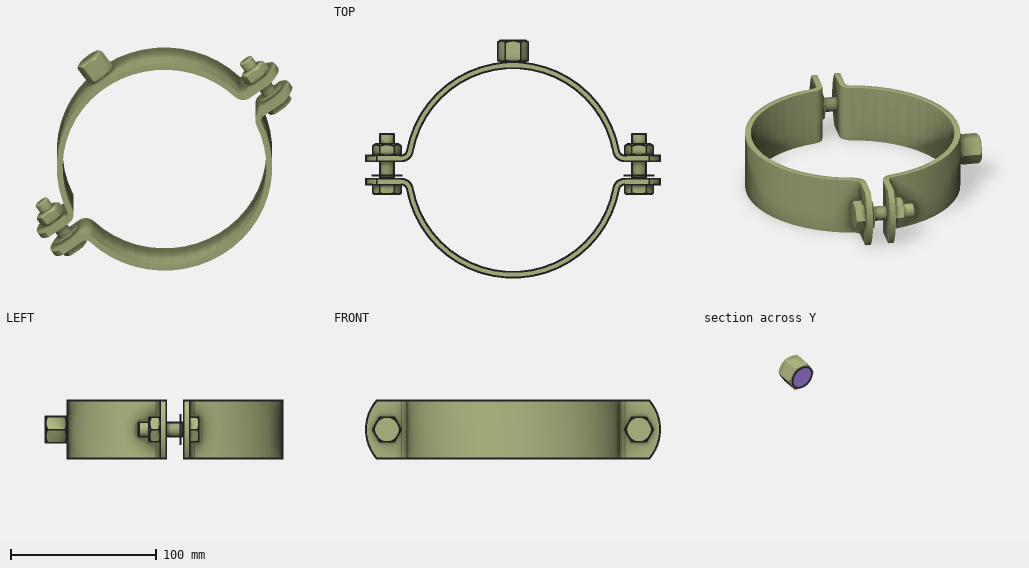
import cadquery as cq
import math

strap_width = 40.0
strap_thickness = 4.0
ring_outer_radius = 74.0
ring_inner_radius = ring_outer_radius - strap_thickness
lug_gap = 12.0
bend_inner_radius = 4.0
bend_outer_radius = bend_inner_radius + strap_thickness
lug_tip_x = 101.2
lug_end_radius = 30.3

bolt_x = 86.5
bolt_diameter = 10.0
collar_diameter = 10.1
collar_height = 0.6
bolt_end_y = 25.0
bolt_end_chamfer = 0.6
hex_across_flats = 17.0
head_seat_diameter = 19.5
nut_seat_diameter = 16.5
head_height = 6.5
head_face_diameter = 17.4
nut_height = 8.0
nut_face_diameter = 15.0
washer_diameter = 20.0
washer_thickness = 0.2
washer_y = -3.8

boss_across_flats = 18.2
boss_base_y = 74.6
boss_end_y = 89.0
boss_seat_diameter = 18.6
boss_face_diameter = 17.4
boss_neck_diameter = 16.5

hex_chamfer_angle = 35.0

lug_inner_y = lug_gap / 2
lug_outer_y = lug_inner_y + strap_thickness


def polar(radius, angle):
    return (radius * math.cos(angle), radius * math.sin(angle))


def half_strap():
    """Half ring with both lugs on the +Y side; the bends run tangent into ring and lug."""
    bend_y = lug_outer_y + bend_inner_radius
    bend_reach = ring_outer_radius + bend_inner_radius
    join_angle = math.asin(bend_y / bend_reach)
    bend_x = bend_reach * math.cos(join_angle)
    bend_mid_angle = (math.pi + join_angle + 1.5 * math.pi) / 2

    def bend_point(radius):
        dx, dy = polar(radius, bend_mid_angle)
        return (bend_x + dx, bend_y + dy)

    def mirrored(point):
        return (-point[0], point[1])

    outer_join = polar(ring_outer_radius, join_angle)
    inner_join = polar(ring_inner_radius, join_angle)
    inner_mid = bend_point(bend_inner_radius)
    outer_mid = bend_point(bend_outer_radius)

    profile = (
        cq.Workplane("XY")
        .workplane(offset=-strap_width / 2)
        .moveTo(lug_tip_x, lug_outer_y)
        .lineTo(bend_x, lug_outer_y)
        .threePointArc(inner_mid, outer_join)
        .threePointArc((0, ring_outer_radius), mirrored(outer_join))
        .threePointArc(mirrored(inner_mid), (-bend_x, lug_outer_y))
        .lineTo(-lug_tip_x, lug_outer_y)
        .lineTo(-lug_tip_x, lug_inner_y)
        .lineTo(-bend_x, lug_inner_y)
        .threePointArc(mirrored(outer_mid), mirrored(inner_join))
        .threePointArc((0, ring_inner_radius), inner_join)
        .threePointArc(outer_mid, (bend_x, lug_inner_y))
        .lineTo(lug_tip_x, lug_inner_y)
        .close()
    )
    return profile.extrude(strap_width).intersect(lug_end_envelope())


def lug_end_envelope():
    """Block along Y whose two ends are arcs, rounding the lug ends."""
    half_width = strap_width / 2
    sagitta = lug_end_radius - math.sqrt(lug_end_radius**2 - half_width**2)
    corner_x = lug_tip_x - sagitta
    return (
        cq.Workplane("XZ")
        .moveTo(-corner_x, -half_width)
        .lineTo(corner_x, -half_width)
        .threePointArc((lug_tip_x, 0), (corner_x, half_width))
        .lineTo(-corner_x, half_width)
        .threePointArc((-lug_tip_x, 0), (-corner_x, -half_width))
        .close()
        .extrude(ring_outer_radius, both=True)
    )


def cylinder_y(diameter, start_y, end_y):
    """Cylinder on the Y axis."""
    return (
        cq.Workplane("XZ", origin=(0, end_y, 0))
        .circle(diameter / 2)
        .extrude(end_y - start_y)
    )


def chamfered_hex(across_flats, start_y, end_y, start_diameter, end_diameter):
    """Hexagon on the Y axis, flats facing up and down, corners coned off at both ends."""
    corner_radius = across_flats / math.sqrt(3)
    slope = math.tan(math.radians(hex_chamfer_angle))
    start_drop = (corner_radius - start_diameter / 2) * slope
    end_drop = (corner_radius - end_diameter / 2) * slope
    prism = (
        cq.Workplane("XZ", origin=(0, end_y, 0))
        .polygon(6, 2 * corner_radius)
        .extrude(end_y - start_y)
    )
    cone_limits = (
        cq.Workplane("XY")
        .moveTo(0, start_y)
        .lineTo(start_diameter / 2, start_y)
        .lineTo(corner_radius, start_y + start_drop)
        .lineTo(corner_radius, end_y - end_drop)
        .lineTo(end_diameter / 2, end_y)
        .lineTo(0, end_y)
        .close()
        .revolve(360, (0, 0, 0), (0, 1, 0))
    )
    return prism.intersect(cone_limits)


def bolt_set():
    """Bolt with a slight collar, nut and thin washer on the Y axis, gripping both lugs."""
    shank = cylinder_y(bolt_diameter, -lug_outer_y, bolt_end_y).faces(">Y").chamfer(bolt_end_chamfer)
    collar = cylinder_y(collar_diameter, -lug_outer_y, -lug_inner_y + collar_height)
    head = chamfered_hex(
        hex_across_flats, -lug_outer_y - head_height, -lug_outer_y, head_face_diameter, head_seat_diameter
    )
    nut = chamfered_hex(
        hex_across_flats, lug_outer_y, lug_outer_y + nut_height, nut_seat_diameter, nut_face_diameter
    )
    washer = cylinder_y(washer_diameter, washer_y - washer_thickness / 2, washer_y + washer_thickness / 2)
    return shank.union(collar).union(head).union(nut).union(washer)


def mounting_boss():
    """Hexagonal boss on a short round neck that sinks into the ring."""
    boss = chamfered_hex(
        boss_across_flats, boss_base_y, boss_end_y, boss_seat_diameter, boss_face_diameter
    )
    neck_start_y = ring_outer_radius - strap_thickness / 2
    return boss.union(cylinder_y(boss_neck_diameter, neck_start_y, boss_base_y))


back_strap = half_strap()
front_strap = back_strap.mirror("XZ")
result = back_strap.union(front_strap).union(mounting_boss())
for side in (-1, 1):
    result = result.union(bolt_set().translate((side * bolt_x, 0, 0)))